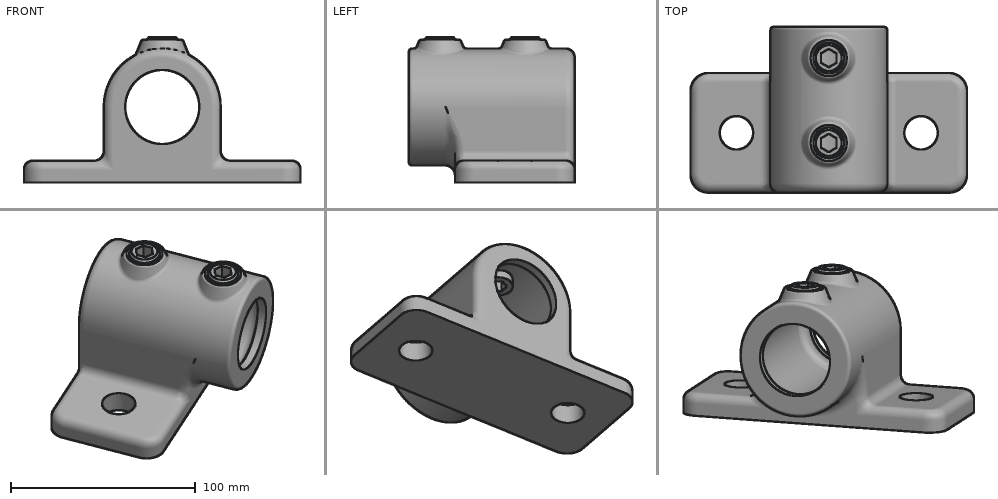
import cadquery as cq

flange_length = 150.0
flange_depth = 65.0
flange_height = 12.0
flange_corner_radius = 10.0
edge_radius = 5.0

barrel_length = 90.0
barrel_radius = 31.75
barrel_axis_height = 41.0
barrel_back_radius = 2.0

bore_radius = 20.0
chamber_radius = 25.0
land_length = 5.0

mounting_hole_diameter = 18.0
mounting_hole_spacing = 100.0

screw_positions = (27.0, 73.0)
boss_top_height = 77.5
boss_top_radius = 11.1
boss_foot_radius = 14.4
boss_foot_height = 69.5
boss_rim_radius = 1.5
boss_root_radius = 2.0
countersink_radius = 9.8
countersink_depth = 1.7
screw_radius = 8.3
screw_top_height = 79.0
screw_bottom_height = barrel_axis_height + bore_radius
screw_chamfer_height = 1.3
screw_chamfer_width = 1.3
hex_corner_diameter = 10.0

tolerance = 0.05


def along_barrel(radius, length):
    """Cylinder on the tube axis, running in +Y from the front face."""
    plane = cq.Workplane("XZ", origin=(0, 0, barrel_axis_height))
    return plane.circle(radius).extrude(-length)


def make_flange():
    flange = cq.Workplane("XY").box(
        flange_length, flange_depth, flange_height, centered=(True, False, False)
    )
    return flange.edges("|Z").fillet(flange_corner_radius)


def make_web(depth):
    """Block under the barrel, as wide as the barrel and as high as its axis."""
    return cq.Workplane("XY").box(
        2 * barrel_radius, depth, barrel_axis_height, centered=(True, False, False)
    )


def make_flare():
    """Concave ring that blends the back of the web into the round of the barrel."""
    flare_start = flange_depth - edge_radius
    flare_end = flange_depth + edge_radius
    flare_radius = barrel_radius + edge_radius
    ring = (
        cq.Workplane("YZ", origin=(0, 0, barrel_axis_height))
        .moveTo(flare_start, 0)
        .lineTo(flare_end, 0)
        .lineTo(flare_end, barrel_radius)
        .radiusArc((flange_depth, flare_radius), edge_radius)
        .lineTo(flare_start, flare_radius)
        .close()
        .revolve(360, (0, 0), (1, 0))
    )
    return ring.intersect(make_web(flare_end))


def is_on_web_corner(edge):
    """True for an edge that runs along a side face of the web and stays within it."""
    box = edge.BoundingBox()
    return abs(abs(box.center.x) - barrel_radius) < tolerance and box.xlen < 2 * tolerance


def round_casting(casting):
    """Round the outer edges above the flange, then the inner corners along the web."""

    def needs_outer_round(edge):
        box = edge.BoundingBox()
        if box.zmin < flange_height - tolerance:
            return False
        if box.zmax < flange_height + tolerance:
            on_flange_rim = not is_on_web_corner(edge)
            return on_flange_rim
        on_front = box.ymax < tolerance
        on_web_back = (
            is_on_web_corner(edge)
            and box.ymin > flange_depth - tolerance
            and box.zmin < barrel_axis_height - tolerance
        )
        return on_front or on_web_back

    def is_inner_corner(edge):
        box = edge.BoundingBox()
        is_level = box.zlen < tolerance
        return is_level and abs(box.zmin - flange_height) < tolerance and is_on_web_corner(edge)

    outer_edges = [edge for edge in casting.edges().vals() if needs_outer_round(edge)]
    casting = casting.newObject(outer_edges).fillet(edge_radius)
    inner_edges = [edge for edge in casting.edges().vals() if is_inner_corner(edge)]
    return casting.newObject(inner_edges).fillet(edge_radius)


def make_boss(y):
    """Tapered boss standing on the barrel, with a rounded rim."""
    slope = (boss_foot_radius - boss_top_radius) / (boss_top_height - boss_foot_height)
    base_height = barrel_axis_height + chamber_radius
    base_radius = boss_top_radius + slope * (boss_top_height - base_height)
    return (
        cq.Workplane("XZ", origin=(0, y, 0))
        .moveTo(0, base_height)
        .lineTo(base_radius, base_height)
        .lineTo(boss_top_radius, boss_top_height)
        .lineTo(0, boss_top_height)
        .close()
        .revolve(360, (0, 0), (0, 1))
        .faces(">Z")
        .edges()
        .fillet(boss_rim_radius)
    )


def make_bore():
    """Through bore with a wider, round-cornered chamber between the end lands."""
    corner_radius = chamber_radius - bore_radius
    chamber_end = barrel_length - land_length
    return (
        cq.Workplane("YZ", origin=(0, 0, barrel_axis_height))
        .moveTo(0, 0)
        .lineTo(0, bore_radius)
        .lineTo(land_length, bore_radius)
        .radiusArc((land_length + corner_radius, chamber_radius), corner_radius)
        .lineTo(chamber_end - corner_radius, chamber_radius)
        .radiusArc((chamber_end, bore_radius), corner_radius)
        .lineTo(barrel_length, bore_radius)
        .lineTo(barrel_length, 0)
        .close()
        .revolve(360, (0, 0), (1, 0))
    )


def make_screw_hole(y):
    """Hole for one set screw, countersunk at the top of its boss."""
    hole_bottom = barrel_axis_height + bore_radius
    return (
        cq.Workplane("XZ", origin=(0, y, 0))
        .moveTo(0, hole_bottom)
        .lineTo(screw_radius, hole_bottom)
        .lineTo(screw_radius, boss_top_height - countersink_depth)
        .lineTo(countersink_radius, boss_top_height)
        .lineTo(0, boss_top_height)
        .close()
        .revolve(360, (0, 0), (0, 1))
    )


def add_bosses(casting):
    """Join the bosses to the barrel and blend their feet into its surface."""
    for y in screw_positions:
        casting = casting.union(make_boss(y))

    def is_boss_foot(edge):
        box = edge.BoundingBox()
        curves_in_height = box.zlen > tolerance and box.ylen > tolerance
        above_bore = box.zmin > barrel_axis_height + bore_radius
        below_barrel_top = box.zmax < barrel_axis_height + barrel_radius + tolerance
        return edge.IsClosed() and curves_in_height and above_bore and below_barrel_top

    foot_edges = [edge for edge in casting.edges().vals() if is_boss_foot(edge)]
    return casting.newObject(foot_edges).fillet(boss_root_radius)


def make_mounting_holes():
    half_spacing = mounting_hole_spacing / 2
    return (
        cq.Workplane("XY", origin=(0, flange_depth / 2, 0))
        .pushPoints([(-half_spacing, 0), (half_spacing, 0)])
        .circle(mounting_hole_diameter / 2)
        .extrude(flange_height)
    )


def make_housing():
    web = make_web(flange_depth).union(make_flare())
    barrel = along_barrel(barrel_radius, barrel_length)
    casting = round_casting(make_flange().union(web).union(barrel))
    casting = casting.faces(">Y").edges().fillet(barrel_back_radius)
    casting = add_bosses(casting)
    casting = casting.cut(make_bore())
    for y in screw_positions:
        casting = casting.cut(make_screw_hole(y))
    return casting.cut(make_mounting_holes())


def make_set_screw(y):
    """Hollow set screw with a hexagonal socket and a tapered top edge."""
    screw_length = screw_top_height - screw_bottom_height
    socket = (
        cq.Workplane("XY", origin=(0, y, screw_bottom_height))
        .transformed(rotate=(0, 0, 90))
        .polygon(6, hex_corner_diameter)
        .extrude(screw_length)
    )
    return (
        cq.Workplane("XZ", origin=(0, y, 0))
        .moveTo(0, screw_bottom_height)
        .lineTo(screw_radius, screw_bottom_height)
        .lineTo(screw_radius, screw_top_height - screw_chamfer_height)
        .lineTo(screw_radius - screw_chamfer_width, screw_top_height)
        .lineTo(0, screw_top_height)
        .close()
        .revolve(360, (0, 0), (0, 1))
        .cut(socket)
    )


housing = make_housing()
set_screws = [make_set_screw(y) for y in screw_positions]

result = cq.Compound.makeCompound([housing.val(), *[screw.val() for screw in set_screws]])